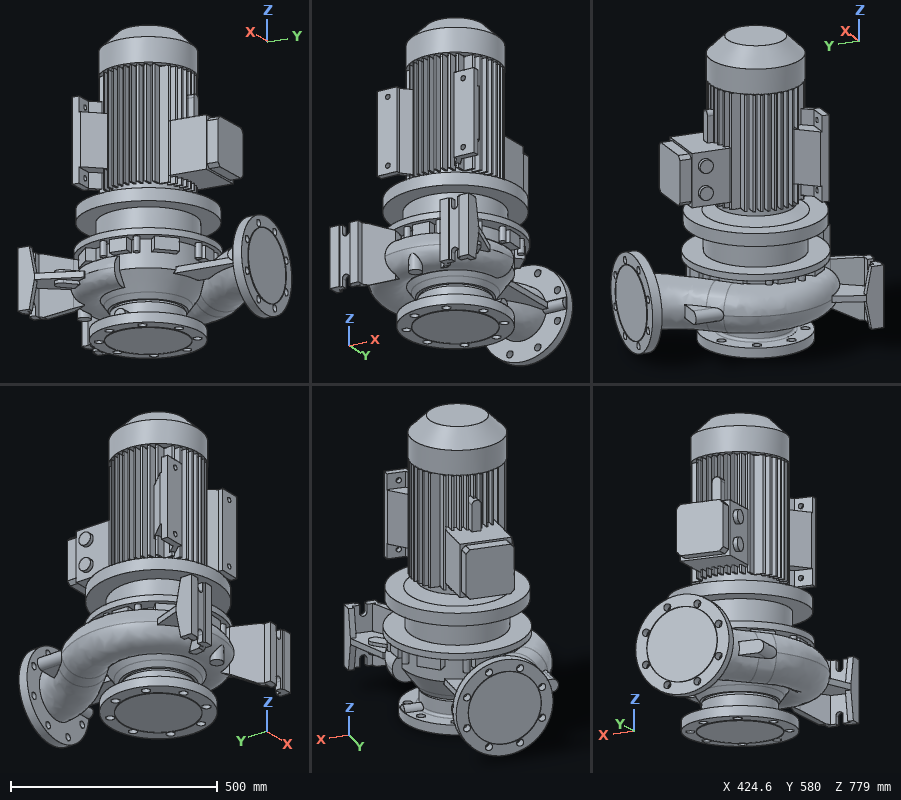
import cadquery as cq
import math


suction_flange_radius = 142.5
suction_flange_top = 28
raised_face_height = 2
suction_raised_radius = 106
suction_neck_radius = 93
neck_fillet_height = 7
neck_top = 70
shoulder_bottom = 76
shoulder_radius = 97
suction_bolt_circle_radius = 120
suction_bolt_hole = 22

volute_height = 140
volute_bottom_plate = 90
volute_bottom_radius = 107
casing_core_radius = 143
discharge_face = 330
discharge_flange_thickness = 25
discharge_back = discharge_face - raised_face_height - discharge_flange_thickness
discharge_flange_radius = 125
discharge_raised_radius = 94
discharge_bolt_circle_radius = 105
discharge_bolt_hole = 18
flange_bolt_count = 8
spiral_start_angle = 360
spiral_end_angle = 137
spiral_section_count = 6
spiral_start_reach = 168
spiral_end_reach = 237.5
spiral_start_tube = 39
spiral_end_tube = 61.5
discharge_sections = [
    (-98, 153, 47, 62),
    (-52, 205, 52, 64),
    (-17, 260, 68, 68),
    (-5, 305, 90, 70),
]

cover_bottom = 213
cover_top = 230
cover_radius = 180
lantern_radius = 127
motor_flange_bottom = 300
motor_flange_top = 333
motor_flange_radius = 176
cone_bottom_radius = 130
cone_top = 351
motor_body_radius = 99
fin_bottom = 369
fin_top = 667
fin_tip_radius = 119
fin_pitch = 17.2
fin_thickness = 5
fins_each_side = 4
cowl_bottom = 670
cowl_shoulder = 735
cowl_radius = 120
cowl_top_radius = 75
motor_top = 779

cover_bolt_angles = (-12.5, 19.3)
cover_bolt_circle_radius = 163
cover_bolt_radius = 8.5
cover_bolt_bottom = 175
cover_pad_bottom = 180
cover_pad_reach = 166
cover_pad_inner = 78
cover_pads = [(3, 47), (45, 62)]

box_half_width = 67
box_bottom = 387
box_top = 526
box_outer = 198
lid_half_width = 62.5
lid_edge_gap = 5
lid_outer = 228
lid_chamfer = 10
gland_radius = 17.5
gland_length = 11
gland_y = 164
gland_heights = (422, 491)
lug_half_width = 12
lug_top = 607
lug_outer = 133

motor_foot_bottom = 380
motor_foot_top = 602
motor_foot_front = -133
motor_foot_back = -114
motor_foot_inner = 82
motor_foot_outer = 139.5
motor_arm_bottom = 421
motor_arm_top = 561
motor_foot_hole = 13
motor_foot_hole_x = 108.5
motor_foot_hole_inset = 21
inner_arm_outline = [(82, -121), (54, -88), (66, -81), (92, -114), (92, -121)]
outer_arm_outline = [
    (92, motor_foot_back), (54, -66), (70, -40), (92, -56),
    (motor_foot_outer, -110), (motor_foot_outer, motor_foot_back),
]

foot_bottom = 59
foot_top = 220
foot_front = -250
foot_plate_back = -230
foot_outer = 200
foot_inner = 118
groove_inner = 142
groove_outer = 173
groove_depth = 4.5
slot_x = 157
slot_width = 18
slot_length = 30
lip_thickness = 15
lip_edge_y = -218
lip_rib_y = -204
rib_thickness = 16
rib_bottom = volute_height - rib_thickness / 2
rib_top = volute_height + rib_thickness / 2
foot_rib_outline = [
    (foot_outer, foot_plate_back), (foot_outer, lip_rib_y), (158, -90), (70, -90), (70, -165),
    (foot_inner, foot_plate_back),
]
foot_web_outline = [(118, -232), (66, -165), (66, -140), (84, -160), (134, -228)]
web_casing_y = -130
web_casing_bottom = 98
web_casing_top = 205

boss_radius = 17
flange_boss_radius = 15
suction_boss_end = 141
discharge_boss_end = 122
stub_y = -177
stub_bottom = 83
side_boss_x = -157
side_boss_end = 235
side_boss_length = 90
side_boss_inner_x = -90
pad_inner_reach = 130
pad_end_reach = 218
pad_angle = 45
gusset_x = 78
gusset_start = 100
gusset_end = 290


def cylinder(radius, bottom, top, x=0, y=0):
    return cq.Workplane("XY", origin=(x, y, bottom)).circle(radius).extrude(top - bottom)


def prism(points, bottom, top):
    """Outline in X and Y carried from one height to another."""
    return cq.Workplane("XY").workplane(offset=bottom).polyline(points).close().extrude(top - bottom)


def block(x0, x1, y0, y1, z0, z1):
    return prism([(x0, y0), (x1, y0), (x1, y1), (x0, y1)], z0, z1)


def turned(shape, angle):
    """Copy turned about the Z axis, in degrees."""
    return shape.rotate((0, 0, 0), (0, 0, 1), angle)


def on_both_sides(shape):
    return shape.union(shape.mirror("YZ"))


def revolved_pump_and_motor():
    """Everything turned about the Z axis, from suction face to cowl top."""
    return (
        cq.Workplane("XZ")
        .moveTo(0, 0)
        .lineTo(suction_raised_radius, 0)
        .lineTo(suction_raised_radius, raised_face_height)
        .lineTo(suction_flange_radius, raised_face_height)
        .lineTo(suction_flange_radius, suction_flange_top)
        .lineTo(suction_neck_radius + neck_fillet_height, suction_flange_top)
        .radiusArc((suction_neck_radius, suction_flange_top + neck_fillet_height), neck_fillet_height)
        .lineTo(suction_neck_radius, neck_top)
        .lineTo(shoulder_radius - neck_fillet_height, shoulder_bottom)
        .lineTo(shoulder_radius, shoulder_bottom)
        .lineTo(volute_bottom_radius, volute_bottom_plate)
        .lineTo(casing_core_radius, volute_height)
        .lineTo(casing_core_radius, cover_bottom)
        .lineTo(cover_radius, cover_bottom)
        .lineTo(cover_radius, cover_top)
        .lineTo(lantern_radius, cover_top)
        .lineTo(lantern_radius, motor_flange_bottom)
        .lineTo(motor_flange_radius, motor_flange_bottom)
        .lineTo(motor_flange_radius, motor_flange_top)
        .lineTo(cone_bottom_radius, motor_flange_top)
        .lineTo(motor_body_radius, cone_top)
        .lineTo(motor_body_radius, cowl_bottom)
        .lineTo(cowl_radius, cowl_bottom)
        .lineTo(cowl_radius, cowl_shoulder)
        .lineTo(cowl_top_radius, motor_top)
        .lineTo(0, motor_top)
        .close()
        .revolve(360, (0, 0, 0), (0, 1, 0))
    )


def tube_section(x, y, heading, radius):
    """Circle at volute height, square to the flow heading (degrees from +X)."""
    flow = cq.Vector(math.cos(math.radians(heading)), math.sin(math.radians(heading)), 0)
    return cq.Wire.makeCircle(radius, cq.Vector(x, y, volute_height), flow)


def volute():
    sections = []
    for i in range(spiral_section_count):
        share = i / (spiral_section_count - 1)
        angle = spiral_start_angle + share * (spiral_end_angle - spiral_start_angle)
        reach = spiral_start_reach + share * (spiral_end_reach - spiral_start_reach)
        tube = spiral_start_tube + share * (spiral_end_tube - spiral_start_tube)
        x = (reach - tube) * math.cos(math.radians(angle))
        y = (reach - tube) * math.sin(math.radians(angle))
        sections.append(tube_section(x, y, angle - 90, tube))
    discharge = [tube_section(*section) for section in discharge_sections]
    runs = (sections, [sections[-1], discharge[0]], discharge)
    return [cq.Workplane(cq.Solid.makeLoft(run)) for run in runs]


def discharge_flange():
    raised_back = discharge_face - raised_face_height
    plane = cq.Workplane("XZ", origin=(0, raised_back, volute_height))
    flange = plane.circle(discharge_flange_radius).extrude(discharge_flange_thickness)
    return flange.union(plane.circle(discharge_raised_radius).extrude(-raised_face_height))


def cover_bolting():
    """Bolts and the flat pads between them, standing under the cover."""
    bolt = cylinder(cover_bolt_radius, cover_bolt_bottom, cover_bottom, 0, -cover_bolt_circle_radius)
    quarter = [turned(bolt, angle) for angle in cover_bolt_angles]
    for angle, width in cover_pads:
        half = width / 2
        pad = block(-half, half, -cover_pad_reach, -cover_pad_inner, cover_pad_bottom, cover_bottom)
        quarter.append(turned(pad, angle))
    return [turned(item, quarter_turn) for item in quarter for quarter_turn in (0, 90, 180, 270)]


def motor_fins():
    """Flat fins along X and along Y, trimmed to a cylinder."""
    plates = []
    half = fin_thickness / 2
    for i in range(-fins_each_side, fins_each_side + 1):
        across = i * fin_pitch
        plate = block(across - half, across + half, -fin_tip_radius, fin_tip_radius, fin_bottom, fin_top)
        plates.append(plate)
    tips = cylinder(fin_tip_radius, fin_bottom, fin_top)
    along_y = [plate.intersect(tips) for plate in plates]
    return along_y + [turned(plate, 90) for plate in along_y]


def terminal_box():
    box = block(-box_half_width, box_half_width, 0, box_outer, box_bottom, box_top)
    lid = block(-lid_half_width, lid_half_width, box_outer, lid_outer,
                box_bottom + lid_edge_gap, box_top - lid_edge_gap)
    box = box.union(lid.edges("|Y").chamfer(lid_chamfer))
    for height in gland_heights:
        gland = cq.Workplane("YZ", origin=(-box_half_width, gland_y, height)).circle(gland_radius)
        box = box.union(gland.extrude(-gland_length))
    lug_axis = lug_top - lug_half_width
    lug = block(-lug_half_width, lug_half_width, 0, lug_outer, box_bottom, lug_axis)
    lug_crown = cq.Workplane("XZ", origin=(0, 0, lug_axis)).circle(lug_half_width).extrude(-lug_outer)
    return box.union(lug).union(lug_crown)


def motor_feet():
    plate = block(motor_foot_inner, motor_foot_outer, motor_foot_front, motor_foot_back,
                  motor_foot_bottom, motor_foot_top)
    for height in (motor_foot_bottom + motor_foot_hole_inset, motor_foot_top - motor_foot_hole_inset):
        hole = cq.Workplane("XZ", origin=(motor_foot_hole_x, 0, height)).circle(motor_foot_hole / 2)
        plate = plate.cut(hole.extrude(-motor_foot_front))
    inner_arm = prism(inner_arm_outline, motor_foot_bottom, motor_foot_top)
    outer_arm = prism(outer_arm_outline, motor_arm_bottom, motor_arm_top)
    return on_both_sides(plate.union(inner_arm).union(outer_arm))


def pump_feet():
    plate = block(foot_inner, foot_outer, foot_front, foot_plate_back, foot_bottom, foot_top)
    groove = block(groove_inner, groove_outer, foot_front, foot_front + groove_depth, foot_bottom, foot_top)
    plate = plate.cut(groove)
    lip = (
        cq.Workplane("YZ", origin=(foot_outer - lip_thickness, 0, 0))
        .polyline([
            (foot_front, foot_bottom), (lip_edge_y, foot_bottom), (lip_rib_y, rib_bottom),
            (lip_rib_y, rib_top), (lip_edge_y, foot_top), (foot_front, foot_top),
        ])
        .close()
        .extrude(lip_thickness)
    )
    rib = prism(foot_rib_outline, rib_bottom, rib_top)
    web = prism(foot_web_outline, foot_bottom, foot_top)
    web_side = (
        cq.Workplane("YZ")
        .polyline([
            (foot_front, foot_bottom), (lip_edge_y, foot_bottom), (web_casing_y, web_casing_bottom),
            (web_casing_y, web_casing_top), (lip_edge_y, foot_top), (foot_front, foot_top),
        ])
        .close()
        .extrude(foot_outer)
    )
    foot = plate.union(lip).union(rib).union(web.intersect(web_side))
    round_end = slot_length - slot_width / 2
    depth = foot_plate_back - foot_front
    for edge, centre in ((foot_bottom, foot_bottom + round_end), (foot_top, foot_top - round_end)):
        end = cq.Workplane("XZ", origin=(slot_x, foot_plate_back, centre)).circle(slot_width / 2)
        end = end.extrude(depth)
        low, high = sorted((edge, centre))
        straight = block(slot_x - slot_width / 2, slot_x + slot_width / 2,
                         foot_front, foot_plate_back, low, high)
        foot = foot.cut(end).cut(straight)
    return on_both_sides(foot)


def bosses():
    low = volute_height - boss_radius
    high = volute_height + boss_radius
    stub = cylinder(boss_radius, stub_bottom, volute_height, 0, stub_y)
    side = cq.Workplane("XZ", origin=(side_boss_x, side_boss_end, volute_height)).circle(boss_radius)
    side = side.extrude(side_boss_length)
    side = side.union(block(side_boss_x, side_boss_inner_x, side_boss_end - side_boss_length, side_boss_end,
                            low, high))
    pad = block(-boss_radius, boss_radius, -pad_end_reach, -pad_inner_reach, low, high)
    pad = turned(pad.union(cylinder(boss_radius, low, high, 0, -pad_end_reach)), pad_angle)
    gusset = block(0, gusset_x, gusset_start, gusset_end, rib_bottom, rib_top)
    suction_gauge = cq.Workplane("YZ", origin=(0, 0, suction_flange_top)).circle(flange_boss_radius)
    suction_gauge = suction_gauge.extrude(suction_boss_end)
    discharge_gauge = cq.Workplane("YZ", origin=(0, discharge_back, volute_height)).circle(flange_boss_radius)
    discharge_gauge = discharge_gauge.extrude(discharge_boss_end)
    return [stub, side, pad, gusset, suction_gauge, discharge_gauge]


def bolt_holes(centre, plane, circle_radius, hole, depth):
    ring = cq.Workplane(plane, origin=centre)
    ring = ring.polarArray(circle_radius, 180 / flange_bolt_count, 360, flange_bolt_count)
    return ring.circle(hole / 2).extrude(depth)


solids = [
    revolved_pump_and_motor(), *volute(), discharge_flange(), *cover_bolting(), *motor_fins(),
    terminal_box(), motor_feet(), pump_feet(), *bosses(),
]
body = solids[0].val().fuse(*[solid.val() for solid in solids[1:]])
suction_holes = bolt_holes(
    (0, 0, 0), "XY", suction_bolt_circle_radius, suction_bolt_hole, suction_flange_top,
)
discharge_holes = bolt_holes(
    (0, discharge_face, volute_height), "XZ", discharge_bolt_circle_radius, discharge_bolt_hole,
    discharge_face - discharge_back,
)
result = cq.Workplane(body).cut(suction_holes).cut(discharge_holes)